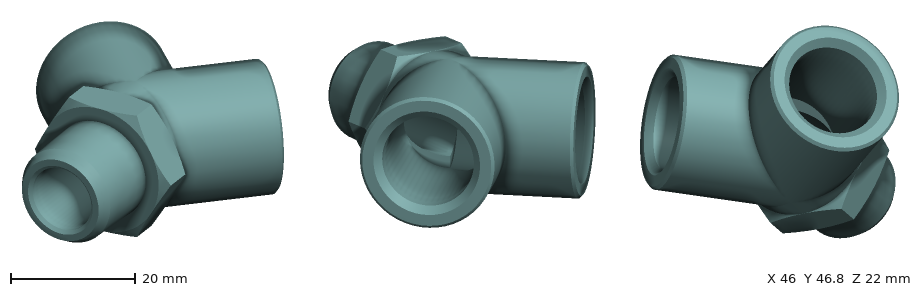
import cadquery as cq
import math

body_radius = 11.0
branch_length = 21.95
branch_angle = 45
branch_edge_chamfer = 0.45

hex_start = 4.75
hex_end = 11.3
hex_chamfer_angle = 30
hex_across_flats = 2 * body_radius
hex_sides = 6
hex_across_corners = hex_across_flats / math.cos(math.pi / hex_sides)

male_end = 23.8
male_taper_end = 21.95
male_base_radius = 8.55
male_taper_radius = 8.25
male_tip_radius = 7.15

stem_bore_radius = 5.45
stem_mouth_radius = 6.05
stem_mouth_depth = stem_mouth_radius - stem_bore_radius
branch_bore_radius = 7.5
branch_mouth_radius = 8.7
branch_mouth_depth = branch_mouth_radius - branch_bore_radius


def revolve_along_y(points):
    """Revolve a (radius, distance) profile about the Y axis."""
    return cq.Workplane("XY").polyline(points).close().revolve(360, (0, 0), (0, 1))


def as_stem(points):
    """Revolve a profile whose distances run outwards along -Y."""
    return revolve_along_y([(radius, -distance) for radius, distance in points])


def as_branches(shape):
    """Copy a shape built along +Y to both branch directions."""
    left = shape.rotate((0, 0, 0), (0, 0, 1), branch_angle)
    right = shape.rotate((0, 0, 0), (0, 0, 1), -branch_angle)
    return left, right


def branch_outside():
    return revolve_along_y([
        (0, 0),
        (body_radius, 0),
        (body_radius, branch_length - branch_edge_chamfer),
        (body_radius - branch_edge_chamfer, branch_length),
        (0, branch_length),
    ])


def branch_bore():
    return revolve_along_y([
        (0, 0),
        (branch_bore_radius, 0),
        (branch_bore_radius, branch_length - branch_mouth_depth),
        (branch_mouth_radius, branch_length),
        (0, branch_length),
    ])


def hex_collar():
    length = hex_end - hex_start
    prism = (
        cq.Workplane("XZ", origin=(0, -hex_start, 0))
        .polygon(hex_sides, hex_across_corners)
        .extrude(length)
    )
    corner_radius = hex_across_corners / 2
    drop = (corner_radius - body_radius) * math.tan(math.radians(hex_chamfer_angle))
    envelope = as_stem([
        (0, hex_start),
        (body_radius, hex_start),
        (corner_radius, hex_start + drop),
        (corner_radius, hex_end - drop),
        (body_radius, hex_end),
        (0, hex_end),
    ])
    return prism.intersect(envelope)


stem_pipe = as_stem([(0, 0), (body_radius, 0), (body_radius, hex_start), (0, hex_start)])
male = as_stem([
    (0, hex_start),
    (male_base_radius, hex_start),
    (male_base_radius, hex_end),
    (male_taper_radius, male_taper_end),
    (male_tip_radius, male_end),
    (0, male_end),
])
stem_bore = as_stem([
    (0, 0),
    (stem_bore_radius, 0),
    (stem_bore_radius, male_end - stem_mouth_depth),
    (stem_mouth_radius, male_end),
    (0, male_end),
])
result = stem_pipe.union(hex_collar()).union(male)
for branch in as_branches(branch_outside()):
    result = result.union(branch)
for bore in as_branches(branch_bore()):
    result = result.cut(bore)
result = result.cut(stem_bore)